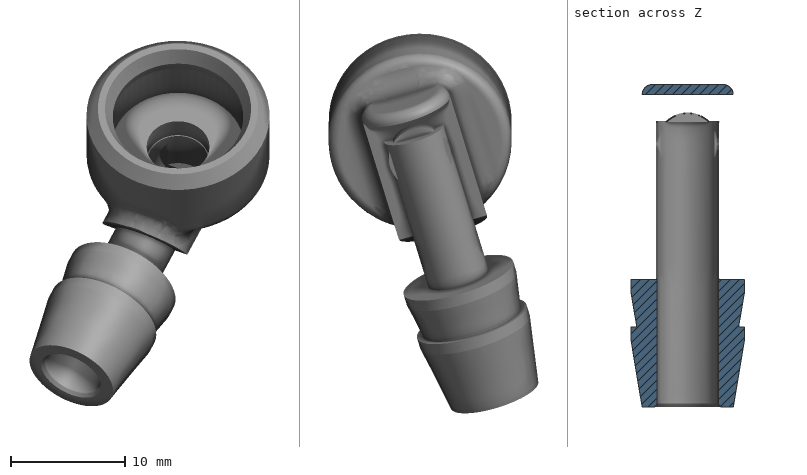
import cadquery as cq

overall_length = 31
overall_height = 15.7
ring_radius = 10.0 / 2

cup_radius = 8.0
cup_top = overall_height - ring_radius
cup_bottom = 2.85
edge_size = 1.0
round_radius = 0.93
mouth_radius = 6.4
throat_radius = 5.7
recess_radius = 5.8
throat_depth = 1.2
recess_start_depth = 2.0
floor_depth = 5.75

passage_radius = 5.5 / 2
wall = 0.1
bore_radius = passage_radius - wall
port_bottom = -1.33
tube_back = 2.0

saddle_radius = 4.0
saddle_back = 5.25
cap_front = saddle_back - round_radius
blend_radius = 1.67
saddle_tip = -9.0
saddle_heel = -7.05

barb_back = -11.8
barb_front = cup_radius - overall_length
ring_length = 1.0
neck_radius = 9 / 2
neck_y = -15.8
second_ring_y = -15.95
tip_radius = 8.0 / 2
bore_mouth_radius = 2.88
bore_mouth_depth = 0.3


def hose_cylinder(radius, back, front):
    """Cylinder on the hose axis between two Y places."""
    return cq.Workplane("XZ", origin=(0, back, 0)).circle(radius).extrude(back - front)


def port_cylinder(radius, bottom, top):
    """Cylinder on the cup axis between two heights."""
    return cq.Workplane("XY", origin=(0, 0, bottom)).circle(radius).extrude(top - bottom)


def box_between(low, high):
    """Box from its lowest to its highest corner."""
    size = [b - a for a, b in zip(low, high)]
    return cq.Workplane("XY").box(*size, centered=False).translate(low)


def make_cup_and_saddle():
    """Cup blended into the upper half of the saddle, with a full round cap at the back."""
    cup = port_cylinder(cup_radius, cup_bottom, cup_top)
    cup = cup.faces(">Z").chamfer(edge_size).faces("<Z").edges().fillet(round_radius)
    saddle = hose_cylinder(saddle_radius, saddle_back, barb_back)
    saddle = saddle.faces(">Y").edges().fillet(round_radius)
    body = cup.union(saddle)
    margin = 0.05
    joint = cq.selectors.BoxSelector(
        (-saddle_radius, -cup_radius - margin, cup_bottom - margin),
        (saddle_radius, cup_radius, saddle_radius + margin),
        boundingbox=True,
    )
    body = body.edges(joint).fillet(blend_radius)

    below_axis = box_between(
        (-cup_radius, barb_back, -cup_radius), (cup_radius, cap_front, 0)
    )
    in_front = (
        cq.Workplane("YZ")
        .polyline([
            (saddle_heel, 0),
            (saddle_tip, saddle_radius),
            (saddle_tip, cup_top),
            (barb_back, cup_top),
            (barb_back, 0),
        ])
        .close()
        .extrude(cup_radius, both=True)
    )
    return body.cut(below_axis).cut(in_front)


def make_barb():
    """Two tapered barbs turned about the hose axis."""
    profile = [
        (0, barb_back),
        (ring_radius, barb_back),
        (ring_radius, barb_back - ring_length),
        (neck_radius, neck_y),
        (neck_radius, second_ring_y),
        (ring_radius, second_ring_y),
        (ring_radius, second_ring_y - ring_length),
        (tip_radius, barb_front),
        (0, barb_front),
    ]
    return cq.Workplane("XY").polyline(profile).close().revolve(360, (0, 0), (0, 1))


def make_recess():
    """Cup recess: tapered mouth, slight relief below it and a flat floor."""
    profile = [
        (0, cup_top),
        (mouth_radius, cup_top),
        (throat_radius, cup_top - throat_depth),
        (recess_radius, cup_top - recess_start_depth),
        (recess_radius, cup_top - floor_depth),
        (0, cup_top - floor_depth),
    ]
    return cq.Workplane("XZ").polyline(profile).close().revolve(360, (0, 0), (0, 1))


def make_hose_bore():
    """Blind bore along the hose axis with a small countersink at its open end."""
    profile = [
        (0, barb_front),
        (bore_mouth_radius, barb_front),
        (bore_radius, barb_front + bore_mouth_depth),
        (bore_radius, tube_back - wall),
        (0, tube_back - wall),
    ]
    return cq.Workplane("XY").polyline(profile).close().revolve(360, (0, 0), (0, 1))


def make_port():
    """Vertical port from the cup floor, stepped in where its tube wall begins."""
    passage = port_cylinder(bore_radius, port_bottom + wall, cup_top)
    return passage.union(port_cylinder(passage_radius, cup_bottom, cup_top))


outside = (
    make_cup_and_saddle()
    .union(hose_cylinder(passage_radius, tube_back, barb_back))
    .union(port_cylinder(passage_radius, port_bottom, cup_bottom))
    .union(make_barb())
)

cavity = make_recess().union(make_port()).union(make_hose_bore())
result = outside.cut(cavity)